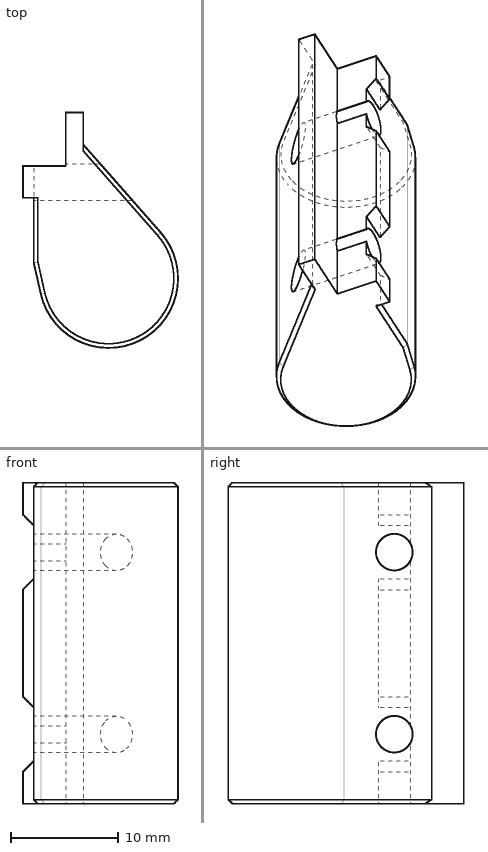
import cadquery as cq
import math

height = 30.0
barrel_radius = 6.5
edge_chamfer = 0.4

wall_x = -7.0
wall_corner_y = 1.5
slope_corner_y = 12.5

plate_left_x = -4.0
plate_thickness = 1.65
plate_right_x = plate_left_x + plate_thickness
plate_end_y = 15.52
plate_projection = 5.0

rib_projection = 1.0
rib_width = 3.0
rib_center_y = plate_end_y - plate_projection - rib_width / 2
rib_bottom_y = rib_center_y - rib_width / 2
rib_x = wall_x - rib_projection
notch_floor_width = 5.0
notch_mouth_width = notch_floor_width + 2 * rib_projection

hole_diameter = 3.4
hole_spacing = 17.0
hole_heights = [height / 2 - hole_spacing / 2, height / 2 + hole_spacing / 2]


def tangent_point(x, y, side):
    """Point where a line from (x, y) touches the barrel; side +1 or -1 picks which of the two."""
    direction = math.atan2(y, x)
    offset = math.acos(barrel_radius / math.hypot(x, y))
    angle = direction + side * offset
    return barrel_radius * math.cos(angle), barrel_radius * math.sin(angle)


def make_body():
    """Chamfered teardrop prism, its upper end buried inside the plate and the rib."""
    wall_touch = tangent_point(wall_x, wall_corner_y, 1)
    slope_touch = tangent_point(plate_right_x, slope_corner_y, -1)

    buried_x = plate_right_x - plate_thickness / 2
    slope = (slope_corner_y - slope_touch[1]) / (plate_right_x - slope_touch[0])
    buried_y = slope_corner_y + slope * (buried_x - plate_right_x)

    return (
        cq.Workplane("XY")
        .moveTo(wall_x, rib_center_y)
        .lineTo(wall_x, wall_corner_y)
        .lineTo(*wall_touch)
        .threePointArc((0, -barrel_radius), slope_touch)
        .lineTo(buried_x, buried_y)
        .lineTo(buried_x, rib_center_y)
        .close()
        .extrude(height)
        .faces("<Z or >Z")
        .chamfer(edge_chamfer)
    )


def make_plate():
    """Full-height plate, rooted down to the lower side of the rib."""
    length = plate_end_y - rib_bottom_y
    return cq.Workplane("XY").box(plate_thickness, length, height, centered=False).translate(
        (plate_left_x, rib_bottom_y, 0)
    )


def make_rib():
    """Full-height rib reaching from its outer face to the far side of the plate."""
    depth = plate_right_x - rib_x
    return cq.Workplane("XY").box(depth, rib_width, height, centered=False).translate(
        (rib_x, rib_bottom_y, 0)
    )


def make_notch(center_z):
    """Notch with 45 degree flanks, cutting the rib down to the flat wall."""
    return (
        cq.Workplane("XZ", origin=(0, rib_bottom_y, 0))
        .polyline([
            (rib_x, center_z - notch_mouth_width / 2),
            (wall_x, center_z - notch_floor_width / 2),
            (wall_x, center_z + notch_floor_width / 2),
            (rib_x, center_z + notch_mouth_width / 2),
        ])
        .close()
        .extrude(-rib_width)
    )


def make_hole(center_z):
    """Through hole along X, centred on the rib."""
    length = barrel_radius - rib_x
    return (
        cq.Workplane("YZ", origin=(rib_x, rib_center_y, center_z))
        .circle(hole_diameter / 2)
        .extrude(length)
    )


result = make_body().union(make_plate()).union(make_rib())
for hole_z in hole_heights:
    result = result.cut(make_notch(hole_z)).cut(make_hole(hole_z))